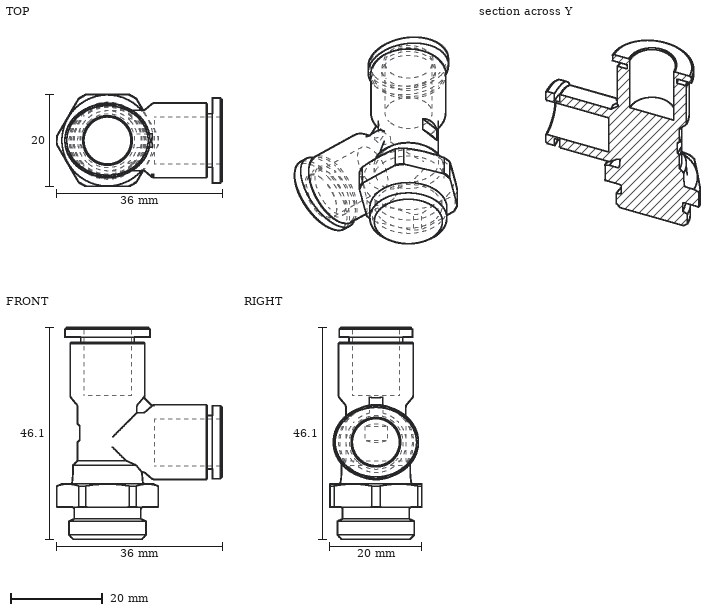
import cadquery as cq
import math

total_height = 46.1
arm_length = 24.95
tee_height = total_height - arm_length

pipe_radius = 6.55
socket_radius = 8.15
socket_start = 10.2
socket_end = 21.7
socket_chamfer = 0.28
shoulder_half_angle = math.radians(40)
shoulder_top_round = 0.85
shoulder_root_round = 1.0
ring_neck_radius = 5.85
ring_start = 22.8
ring_half_length = 9.25
ring_half_width = 7.98
ring_chamfer = 0.4
bore_radius = 5.1
bore_chamfer = 0.28

gusset_thickness = 2.9
gusset_reach = 17.65

notch_half_width = 2.45
notch_height = 3.05
notch_center = 23.15

collar_top = 17.1
collar_rim_radius = 7.5
collar_rim_height = 16.15
collar_taper_top = tee_height - pipe_radius
collar_base_radius = 7.7
collar_root_round = 0.4

hex_bottom = 7.0
hex_top = 12.1
hex_across_flats = 20.0
hex_corner_radius = 11.05
hex_top_face_radius = 9.9
hex_top_bevel_height = 0.45
hex_bottom_bevel = 0.15

thread_radius = 8.4
thread_chamfer = 0.95
thread_top = 3.95
relief_radius = 7.3
relief_bottom = 4.45
relief_root_round = 0.35


def on_circle(center, radius, angle):
    return (center[0] + radius * math.cos(angle), center[1] + radius * math.sin(angle))


def make_arm():
    """Arm standing on the origin along +Z, with the long side of its ring along X."""
    slope = shoulder_half_angle
    top_center = (socket_radius - shoulder_top_round, socket_start)
    top_mid = on_circle(top_center, shoulder_top_round, -slope / 2)
    top_end = on_circle(top_center, shoulder_top_round, -slope)
    root_start_radius = pipe_radius + shoulder_root_round * (1 - math.cos(slope))
    cone_height = (top_end[0] - root_start_radius) / math.tan(slope)
    root_center = (
        pipe_radius + shoulder_root_round,
        top_end[1] - cone_height - shoulder_root_round * math.sin(slope),
    )
    root_start = on_circle(root_center, shoulder_root_round, math.pi - slope)
    root_mid = on_circle(root_center, shoulder_root_round, math.pi - slope / 2)

    body = (
        cq.Workplane("XZ")
        .lineTo(pipe_radius, 0)
        .lineTo(pipe_radius, root_center[1])
        .threePointArc(root_mid, root_start)
        .lineTo(*top_end)
        .threePointArc(top_mid, (socket_radius, socket_start))
        .lineTo(socket_radius, socket_end - socket_chamfer)
        .lineTo(socket_radius - socket_chamfer, socket_end)
        .lineTo(ring_neck_radius, socket_end)
        .lineTo(ring_neck_radius, ring_start)
        .lineTo(0, ring_start)
        .close()
        .revolve(360, (0, 0), (0, 1))
    )
    ring = (
        cq.Workplane("XY", origin=(0, 0, ring_start))
        .ellipse(ring_half_length, ring_half_width)
        .extrude(arm_length - ring_start)
        .faces(">Z")
        .chamfer(ring_chamfer)
    )
    return body.union(ring)


def make_bore():
    """Tube bore of an arm, with its chamfered mouth."""
    return (
        cq.Workplane("XZ")
        .moveTo(0, socket_start)
        .lineTo(bore_radius, socket_start)
        .lineTo(bore_radius, arm_length - bore_chamfer)
        .lineTo(bore_radius + bore_chamfer, arm_length)
        .lineTo(0, arm_length)
        .close()
        .revolve(360, (0, 0), (0, 1))
    )


def as_run(shape):
    return shape.translate((0, 0, tee_height))


def as_branch(shape):
    """Lay an arm along +X with the long side of its ring along Y."""
    turned = shape.rotate((0, 0, 0), (0, 0, 1), 90)
    return turned.rotate((0, 0, 0), (0, 1, 0), 90).translate((0, 0, tee_height))


def make_gusset():
    return (
        cq.Workplane("XZ", origin=(0, 0, tee_height))
        .polyline([(0, 0), (gusset_reach, 0), (0, gusset_reach)])
        .close()
        .extrude(gusset_thickness / 2, both=True)
    )


def make_notch():
    """Flat-floored cut whose ends slope outward at 45 degrees."""
    floor = math.sqrt(pipe_radius**2 - notch_half_width**2)
    outside = socket_radius
    inner_half = notch_height / 2
    outer_half = inner_half + outside - floor
    return (
        cq.Workplane("XZ", origin=(0, 0, notch_center))
        .polyline(
            [(-floor, -inner_half), (-outside, -outer_half), (-outside, outer_half), (-floor, inner_half)]
        )
        .close()
        .extrude(pipe_radius, both=True)
    )


def make_stem():
    """Turned part below the tee: threaded end, relief groove and collar."""
    eighth_turn = math.pi / 4
    relief_center = (relief_radius + relief_root_round, hex_bottom - relief_root_round)
    collar_center = (collar_base_radius + collar_root_round, hex_top + collar_root_round)
    return (
        cq.Workplane("XZ")
        .lineTo(thread_radius - thread_chamfer, 0)
        .lineTo(thread_radius, thread_chamfer)
        .lineTo(thread_radius, thread_top)
        .lineTo(relief_radius, relief_bottom)
        .lineTo(relief_radius, relief_center[1])
        .threePointArc(
            on_circle(relief_center, relief_root_round, 3 * eighth_turn),
            (relief_center[0], hex_bottom),
        )
        .lineTo(collar_center[0], hex_top)
        .threePointArc(
            on_circle(collar_center, collar_root_round, 5 * eighth_turn),
            (collar_base_radius, collar_center[1]),
        )
        .lineTo(collar_rim_radius, collar_taper_top)
        .lineTo(collar_rim_radius, collar_rim_height)
        .lineTo(pipe_radius, collar_top)
        .lineTo(pipe_radius, tee_height)
        .lineTo(0, tee_height)
        .close()
        .revolve(360, (0, 0), (0, 1))
    )


def make_hexagon():
    """Hexagon with flats facing +Y and -Y, its corners turned and bevelled."""
    hex_across_corners = hex_across_flats / math.cos(math.pi / 6)
    prism = (
        cq.Workplane("XY", origin=(0, 0, hex_bottom))
        .polygon(6, hex_across_corners)
        .extrude(hex_top - hex_bottom)
    )
    turned_blank = (
        cq.Workplane("XZ")
        .moveTo(0, hex_bottom)
        .lineTo(hex_corner_radius - hex_bottom_bevel, hex_bottom)
        .lineTo(hex_corner_radius, hex_bottom + hex_bottom_bevel)
        .lineTo(hex_corner_radius, hex_top - hex_top_bevel_height)
        .lineTo(hex_top_face_radius, hex_top)
        .lineTo(0, hex_top)
        .close()
        .revolve(360, (0, 0), (0, 1))
    )
    return prism.intersect(turned_blank)


arm = make_arm()
bore = make_bore()
result = (
    make_stem()
    .union(make_hexagon())
    .union(as_run(arm))
    .union(as_branch(arm))
    .union(make_gusset())
    .cut(make_notch())
    .cut(as_run(bore))
    .cut(as_branch(bore))
)